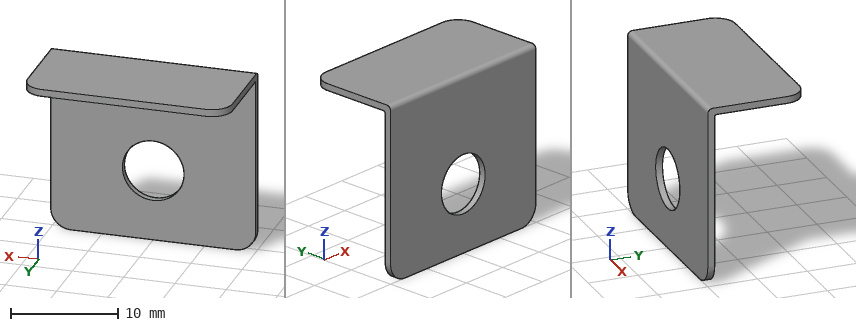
import cadquery as cq

width = 20.0
depth = 10.0
height = 18.0

thickness = 0.7
inner_bend_radius = 0.2
outer_bend_radius = 0.5

corner_radius = 2.0

hole_diameter = 6.0
hole_height = 7.0


def bent_sheet():
    """L-shaped sheet: upright plate at the front, flange running back along the top."""
    profile = (
        cq.Workplane("YZ")
        .moveTo(0, 0)
        .lineTo(0, height)
        .lineTo(depth, height)
        .lineTo(depth, height - thickness)
        .lineTo(thickness, height - thickness)
        .lineTo(thickness, 0)
        .close()
    )
    sheet = profile.extrude(width / 2, both=True)
    outer_bend = cq.selectors.NearestToPointSelector((0, 0, height))
    inner_bend = cq.selectors.NearestToPointSelector((0, thickness, height - thickness))
    sheet = sheet.edges("|X").edges(outer_bend).fillet(outer_bend_radius)
    return sheet.edges("|X").edges(inner_bend).fillet(inner_bend_radius)


def round_free_corners(sheet):
    """Round the bottom corners of the upright and the rear corners of the flange."""
    sheet = sheet.faces("<Z").edges("|Y").fillet(corner_radius)
    return sheet.faces(">Y").edges("|Z").fillet(corner_radius)


def hole_cutter():
    """Cylinder passing through the upright plate along Y."""
    return (
        cq.Workplane("XZ")
        .center(0, hole_height)
        .circle(hole_diameter / 2)
        .extrude(-thickness)
    )


result = round_free_corners(bent_sheet()).cut(hole_cutter())